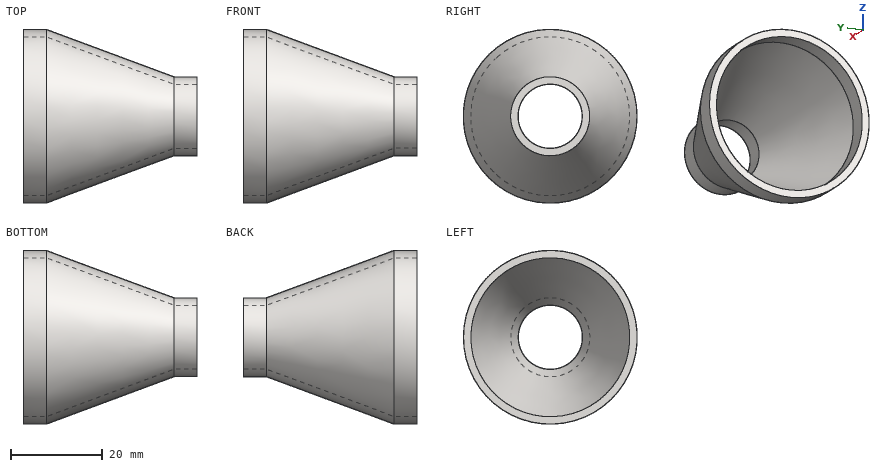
import cadquery as cq

large_outer_diameter = 38.1
small_outer_diameter = 17.3
wall_thickness = 1.65
overall_length = 38.0
collar_length = 5.0

cone_end = overall_length - collar_length


def reducer_solid(large_radius, small_radius):
    """Solid of revolution: large cylinder, cone, small cylinder."""
    return (
        cq.Workplane("XY")
        .moveTo(0, 0)
        .lineTo(0, large_radius)
        .lineTo(collar_length, large_radius)
        .lineTo(cone_end, small_radius)
        .lineTo(overall_length, small_radius)
        .lineTo(overall_length, 0)
        .close()
        .revolve(360, (0, 0, 0), (1, 0, 0))
    )


large_outer_radius = large_outer_diameter / 2
small_outer_radius = small_outer_diameter / 2

outer_body = reducer_solid(large_outer_radius, small_outer_radius)
bore = reducer_solid(
    large_outer_radius - wall_thickness,
    small_outer_radius - wall_thickness,
)

result = outer_body.cut(bore)